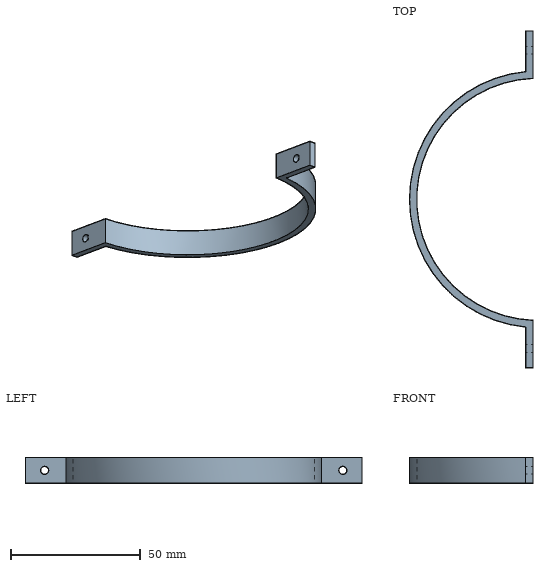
import cadquery as cq

total_length = 130.0
total_depth = 47.7
strap_width = 10.0
thickness = 2.9
outer_radius = 49.5
hole_diameter = 3.0
hole_spacing = 115.0

inner_radius = outer_radius - thickness


def arch():
    """Curved strap, trimmed flat at the mounting face."""
    ring = (
        cq.Workplane("XY")
        .center(outer_radius, 0)
        .circle(outer_radius)
        .circle(inner_radius)
        .extrude(strap_width)
    )
    kept_side = cq.Workplane("XY").box(
        total_depth, total_length, strap_width, centered=(False, True, False)
    )
    return ring.intersect(kept_side)


def ears():
    """Flat mounting ears, joined to the arch without entering its bore."""
    plate = (
        cq.Workplane("XY")
        .center(total_depth - thickness, 0)
        .rect(thickness, total_length, centered=(False, True))
        .extrude(strap_width)
    )
    bore = cq.Workplane("XY").center(outer_radius, 0).circle(inner_radius).extrude(strap_width)
    return plate.cut(bore)


def ear_holes():
    """One screw hole through each ear, along X."""
    return (
        cq.Workplane("YZ")
        .pushPoints([(side * hole_spacing / 2, strap_width / 2) for side in (-1, 1)])
        .circle(hole_diameter / 2)
        .extrude(total_depth)
    )


result = arch().union(ears()).cut(ear_holes())